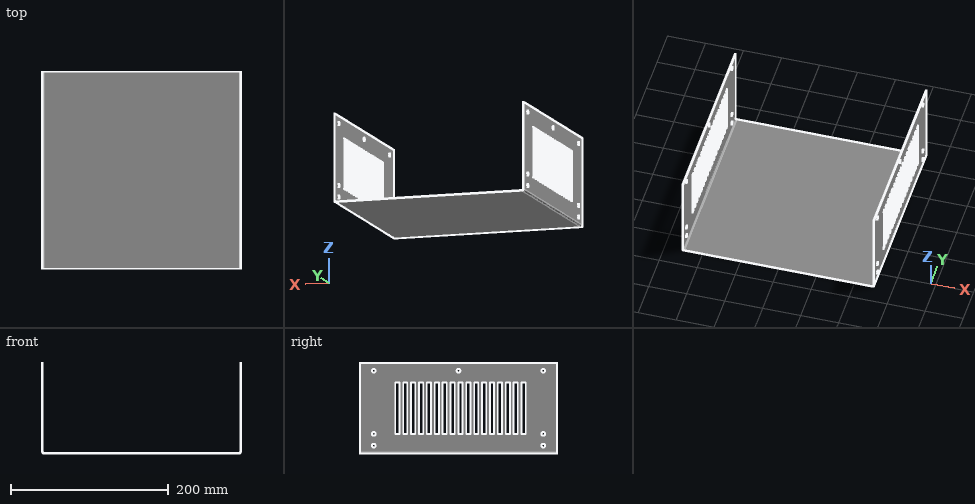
import cadquery as cq

sheet = 1.22
inner_width = 250.0
outer_width = inner_width + 2 * sheet
depth = 250.0
height = 115.0
inner_bend_radius = sheet
outer_bend_radius = inner_bend_radius + sheet

slot_count = 17
slot_width = 5.0
slot_pitch = 10.0
slot_rear_margin = 40.0
slot_end_margin = 25.0
slot_height = height - 2 * slot_end_margin

hole_diameter = 4.5
hole_side_margin = 17.5
hole_edge_margin = 10.0
lower_pair_spacing = 15.0
hole_y = depth / 2 - hole_side_margin
top_hole_z = height - hole_edge_margin
lowest_hole_z = hole_edge_margin
second_hole_z = lowest_hole_z + lower_pair_spacing


def channel():
    """U-shaped sheet, centred on X and Y, resting on Z = 0, with rounded bends."""
    body = cq.Workplane("XY").box(outer_width, depth, height, centered=(True, True, False))
    body = body.edges("|Y and <Z").fillet(outer_bend_radius)
    cavity = (
        cq.Workplane("XY")
        .workplane(offset=sheet)
        .box(inner_width, depth, height, centered=(True, True, False))
        .edges("|Y and <Z")
        .fillet(inner_bend_radius)
    )
    return body.cut(cavity)


def slot_cutters():
    """Row of vertical slots, stepped from the rear (+Y) end and passing through both walls."""
    first_slot_y = depth / 2 - slot_rear_margin - slot_width / 2
    centers = [(first_slot_y - i * slot_pitch, height / 2) for i in range(slot_count)]
    outlines = cq.Workplane("YZ").pushPoints(centers).rect(slot_width, slot_height)
    return outlines.extrude(outer_width / 2, both=True)


def hole_cutters():
    """Round holes passing through both walls: three along the top, a stacked pair near each lower corner."""
    centers = [(0, top_hole_z)]
    for y in (-hole_y, hole_y):
        for z in (lowest_hole_z, second_hole_z, top_hole_z):
            centers.append((y, z))
    outlines = cq.Workplane("YZ").pushPoints(centers).circle(hole_diameter / 2)
    return outlines.extrude(outer_width / 2, both=True)


result = channel().cut(slot_cutters()).cut(hole_cutters())